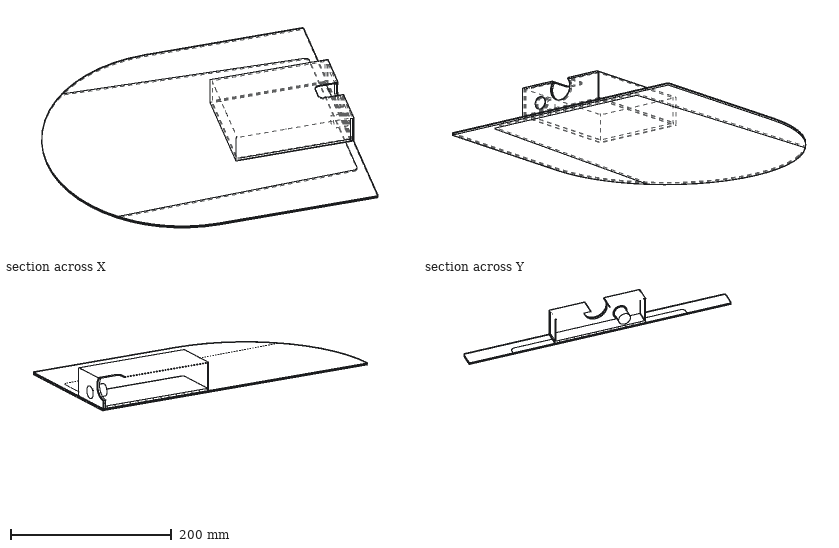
import cadquery as cq


MAT_WIDTH = 350.0
MAT_LENGTH = 380.0
MAT_CORNER_RADIUS = 2.0
BASE_THICKNESS = 2.0
SKIN_THICKNESS = 1.0
MAT_TOP = BASE_THICKNESS + SKIN_THICKNESS

INLAY_REAR_WIDTH = 232.0
INLAY_FRONT_WIDTH = 259.5
INLAY_REAR_GAP = 10.0
INLAY_CORNER_RADIUS = 5.0

COVER_WIDTH = 122.0
COVER_DEPTH = 152.2
COVER_TOP = 40.0
COVER_WALL = 2.0
COVER_REAR_WALL = 1.5
COVER_ROOF = 1.5
COVER_EDGE_RADIUS = 1.5
CAVITY_CORNER_RADIUS = 2.0
CAVITY_TOP = COVER_TOP - COVER_ROOF
CAVITY_FRONT_Y = COVER_WALL - COVER_DEPTH

LIP = 1.0
INSERT_WIDTH = COVER_WIDTH - 2 * LIP

NOTCH_WIDTH = 25.4
NOTCH_DEPTH = 31.0
NOTCH_CORNER_RADIUS = 6.0

PANEL_THICKNESS = 2.5
PANEL_INNER_Y = -COVER_REAR_WALL - PANEL_THICKNESS
CABLE_HOLE_DIAMETER = 31.0
CABLE_HOLE_Z = 29.0
FLOOR_THICKNESS = 3.0
FLOOR_TOP = MAT_TOP + FLOOR_THICKNESS

CONNECTOR_X = 32.5
CONNECTOR_Z = 15.5
CONNECTOR_DIAMETER = 15.85
COLLAR_DIAMETER = 18.5
COLLAR_LENGTH = 1.0
CONNECTOR_LENGTH = 20.0


def box(width, y_rear, y_front, z_bottom, z_top):
    """Box centred on X = 0, between the given Y and Z limits."""
    return (
        cq.Workplane("XY")
        .box(width, y_rear - y_front, z_top - z_bottom, centered=(True, False, False))
        .translate((0, y_front, z_bottom))
    )


def mat_layer(z_bottom, thickness):
    """Full mat outline as a sheet."""
    radius = MAT_WIDTH / 2
    arc_start_y = radius - MAT_LENGTH
    return (
        cq.Workplane("XY", origin=(0, 0, z_bottom))
        .moveTo(-radius, 0)
        .lineTo(radius, 0)
        .lineTo(radius, arc_start_y)
        .threePointArc((0, -MAT_LENGTH), (-radius, arc_start_y))
        .close()
        .extrude(thickness)
        .edges("|Z and >Y")
        .fillet(MAT_CORNER_RADIUS)
    )


def inlay_blank():
    """Tapered panel, reaching past the front of the mat."""
    rear = INLAY_REAR_WIDTH / 2
    front = INLAY_FRONT_WIDTH / 2
    return (
        cq.Workplane("XY")
        .moveTo(-rear, -INLAY_REAR_GAP)
        .lineTo(rear, -INLAY_REAR_GAP)
        .lineTo(front, -MAT_LENGTH)
        .lineTo(-front, -MAT_LENGTH)
        .close()
        .extrude(BASE_THICKNESS)
        .edges("|Z and >Y")
        .fillet(INLAY_CORNER_RADIUS)
    )


def y_cylinder(diameter, x, z, y_rear, length):
    """Cylinder along Y, running from y_rear towards the front."""
    return cq.Workplane("XZ", origin=(x, y_rear, z)).circle(diameter / 2).extrude(length)


def rear_panel_blank():
    return box(INSERT_WIDTH, -COVER_REAR_WALL, PANEL_INNER_Y, MAT_TOP, CAVITY_TOP)


def make_cover_floor():
    return (
        box(INSERT_WIDTH, PANEL_INNER_Y, CAVITY_FRONT_Y, MAT_TOP, FLOOR_TOP)
        .edges("|Z and <Y")
        .fillet(CAVITY_CORNER_RADIUS)
    )


def cut_rear_openings(body):
    """Cut the cable hole and the connector hole through the rear of a body."""
    cable_hole = y_cylinder(CABLE_HOLE_DIAMETER, 0, CABLE_HOLE_Z, 0, -PANEL_INNER_Y)
    connector_hole = y_cylinder(CONNECTOR_DIAMETER, CONNECTOR_X, CONNECTOR_Z, 0, -PANEL_INNER_Y)
    return body.cut(cable_hole).cut(connector_hole)


def make_cover():
    outer = box(COVER_WIDTH, 0, -COVER_DEPTH, MAT_TOP, COVER_TOP)
    outer = outer.faces(">Z").edges("not >Y").fillet(COVER_EDGE_RADIUS)
    cavity = (
        box(COVER_WIDTH - 2 * COVER_WALL, -COVER_REAR_WALL, CAVITY_FRONT_Y, MAT_TOP, CAVITY_TOP)
        .edges("|Z and <Y")
        .fillet(CAVITY_CORNER_RADIUS)
    )
    notch = (
        box(NOTCH_WIDTH, 0, -NOTCH_DEPTH, CAVITY_TOP, COVER_TOP)
        .edges("|Z and <Y")
        .fillet(NOTCH_CORNER_RADIUS)
    )
    shell = outer.cut(cavity).cut(notch).cut(rear_panel_blank()).cut(make_cover_floor())
    return cut_rear_openings(shell)


def make_rear_panel():
    return cut_rear_openings(rear_panel_blank())


def make_connector():
    barrel = y_cylinder(CONNECTOR_DIAMETER, CONNECTOR_X, CONNECTOR_Z, 0, CONNECTOR_LENGTH)
    collar = y_cylinder(COLLAR_DIAMETER, CONNECTOR_X, CONNECTOR_Z, PANEL_INNER_Y, COLLAR_LENGTH)
    return barrel.union(collar)


mat_base = mat_layer(0, BASE_THICKNESS).cut(inlay_blank())
inlay = mat_layer(0, BASE_THICKNESS).intersect(inlay_blank())
skin = mat_layer(BASE_THICKNESS, SKIN_THICKNESS)
cover = make_cover()
rear_panel = make_rear_panel()
cover_floor = make_cover_floor()
connector = make_connector()

result = cq.Compound.makeCompound(
    [
        mat_base.val(),
        inlay.val(),
        skin.val(),
        cover.val(),
        rear_panel.val(),
        cover_floor.val(),
        connector.val(),
    ]
)